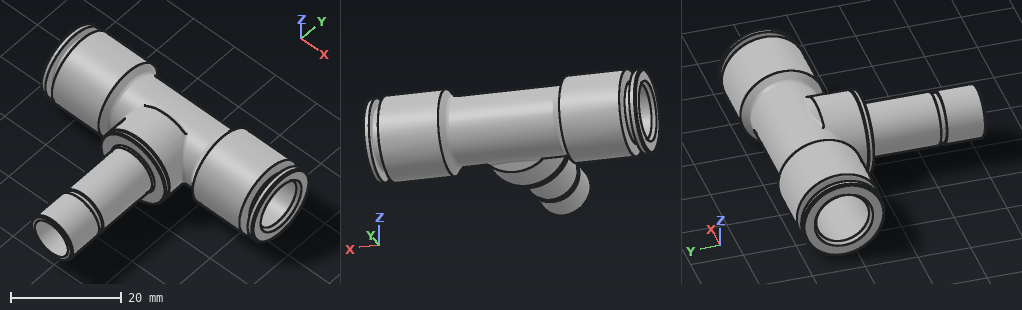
import cadquery as cq

run_half_length = 25.8
stem_end = 33.5

pipe_radius = 6.5
body_radius = 8.0
cone_start = 10.1
cone_end = 11.45
body_edge = 22.8
body_edge_length = 0.15
body_edge_drop = 0.4
neck_start = 23.15
neck_radius = 5.75
neck_fillet = 0.3
collar_radius = 7.75
collar_thickness = 1.2
collar_chamfer = 0.25
cone_root_fillet = 0.75

through_radius = 4.25
socket_radius = 5.0
socket_depth = 16.5
mouth_radius = 5.5
mouth_depth = 0.75
funnel_length = 0.5

boss_radius = 7.9
boss_start = 2.75
boss_cone_height = 2.2
boss_cone_radius = 5.3
boss_end = 11.4
boss_chamfer = 0.2
boss_root_fillet = 0.5
seam_position = 10.2
seam_width = 0.2
seam_depth = 0.1

stem_radius = 5.0
stem_bore_radius = 4.0
stem_chamfer = 0.25
shoulder_radius = 5.25
shoulder_length = 0.4
groove_start = 25.0
groove_width = 1.15
groove_radius = 4.65

selection_margin = 0.05
cut_margin = 0.5


def cylinder_x(radius, start, end):
    return cq.Workplane("YZ", origin=(start, 0, 0)).circle(radius).extrude(end - start)


def cone_x(start_radius, start, end_radius, end):
    return (
        cq.Workplane("YZ", origin=(start, 0, 0))
        .circle(start_radius)
        .workplane(offset=end - start)
        .circle(end_radius)
        .loft()
    )


def cylinder_stem(radius, start, end):
    """Cylinder on the stem axis, between two distances from the run axis."""
    return cq.Workplane("XZ", origin=(0, -start, 0)).circle(radius).extrude(end - start)


def mirrored_pair(solid):
    return solid.union(solid.mirror("YZ"))


def run_end():
    """Conical swelling, sleeve, neck and release collar at the +X end."""
    sleeve = (
        cq.Workplane("XY")
        .lineTo(0, pipe_radius)
        .lineTo(cone_start, pipe_radius)
        .lineTo(cone_end, body_radius)
        .lineTo(body_edge, body_radius)
        .lineTo(body_edge + body_edge_length, body_radius - body_edge_drop)
        .lineTo(neck_start, neck_radius)
        .lineTo(neck_start, 0)
        .close()
        .revolve(360, (0, 0, 0), (1, 0, 0))
    )
    root_box = cq.selectors.BoxSelector(
        (cone_start - selection_margin, -body_radius, -body_radius),
        (cone_start + selection_margin, body_radius, body_radius),
        boundingbox=True,
    )
    sleeve = sleeve.edges(root_box).fillet(cone_root_fillet)
    collar_start = run_half_length - collar_thickness
    neck = cylinder_x(neck_radius, neck_start, collar_start)
    collar = cylinder_x(collar_radius, collar_start, run_half_length)
    collar = collar.faces(">X").edges().chamfer(collar_chamfer)
    release_ring = neck.union(collar)
    neck_reach = neck_radius + selection_margin
    neck_box = cq.selectors.BoxSelector(
        (collar_start - selection_margin, -neck_reach, -neck_reach),
        (collar_start + selection_margin, neck_reach, neck_reach),
        boundingbox=True,
    )
    release_ring = release_ring.edges(neck_box).fillet(neck_fillet)
    return sleeve.union(release_ring)


def run_bore():
    bore = cylinder_x(through_radius, 0, run_half_length)
    socket_end = run_half_length - socket_depth
    socket = cylinder_x(socket_radius, socket_end, run_half_length)
    funnel = cone_x(through_radius, socket_end - funnel_length, socket_radius, socket_end)
    mouth = cone_x(socket_radius, run_half_length - mouth_depth, mouth_radius, run_half_length)
    return mirrored_pair(bore.union(socket).union(funnel).union(mouth))


def run_with_boss():
    """Run blended into the cone-backed boss along their meeting edge."""
    run = mirrored_pair(run_end())
    boss = (
        cq.Workplane("XY")
        .moveTo(0, -boss_end)
        .lineTo(boss_radius, -boss_end)
        .lineTo(boss_radius, -boss_start)
        .lineTo(boss_cone_radius, boss_cone_height - boss_start)
        .lineTo(0, boss_cone_height - boss_start)
        .close()
        .revolve(360, (0, 0, 0), (0, 1, 0))
    )
    boss = boss.faces("<Y").edges().chamfer(boss_chamfer)
    joined = run.union(boss)
    root_box = cq.selectors.BoxSelector(
        (-boss_radius - selection_margin, -pipe_radius - selection_margin, -pipe_radius),
        (boss_radius + selection_margin, 0, pipe_radius),
        boundingbox=True,
    )
    joined = joined.edges(root_box).fillet(boss_root_fillet)
    seam_end = seam_position + seam_width
    seam = cylinder_stem(boss_radius + cut_margin, seam_position, seam_end).cut(
        cylinder_stem(boss_radius - seam_depth, seam_position, seam_end)
    )
    return joined.cut(seam)


def stem():
    tube = cylinder_stem(stem_radius, boss_end, stem_end)
    tube = tube.faces("<Y").edges().chamfer(stem_chamfer)
    groove_end = groove_start + groove_width
    groove = cylinder_stem(stem_radius + cut_margin, groove_start, groove_end).cut(
        cylinder_stem(groove_radius, groove_start, groove_end)
    )
    shoulder = (
        cq.Workplane("XZ", origin=(0, -boss_end, 0))
        .circle(shoulder_radius)
        .workplane(offset=shoulder_length)
        .circle(stem_radius)
        .loft()
    )
    return tube.cut(groove).union(shoulder)


stem_bore = cylinder_stem(stem_bore_radius, 0, stem_end)
result = run_with_boss().union(stem()).cut(run_bore()).cut(stem_bore)